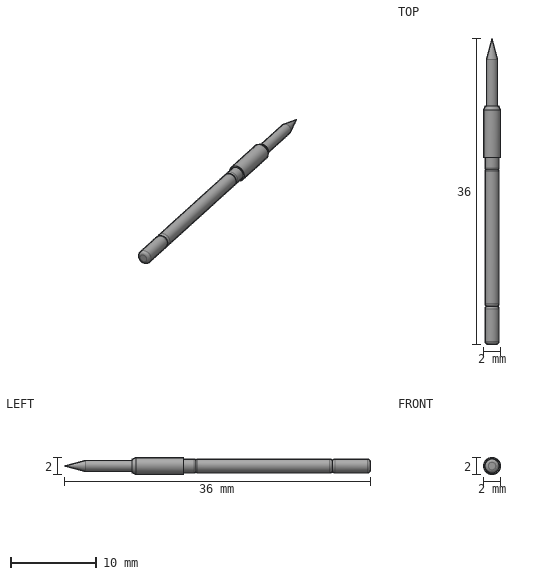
import math

import cadquery as cq

overall_length = 36.0

plunger_radius = 0.66
tip_length = 2.45

collar_radius = 1.0
collar_rear_y = 22.0
collar_front_y = 28.05
collar_chamfer_length = 0.45
collar_chamfer_depth = 0.2

barrel_radius = 0.825
tail_round = 0.38

front_crimp_y = 20.55
front_crimp_half_width = 0.2
front_crimp_depth = 0.15
rear_crimp_y = 4.5
rear_crimp_half_width = 0.3
rear_crimp_depth = 0.15


def add_crimp(profile, valley_y, half_width, depth):
    """Continue the barrel outline through a crimp, from its rear edge to its front edge."""
    shoulder_radius = (half_width**2 + depth**2) / (2 * depth)
    half_angle = math.asin(half_width / shoulder_radius) / 2
    arc_inset = shoulder_radius * (1 - math.cos(half_angle))
    arc_run = shoulder_radius * math.sin(half_angle)
    middle_x = barrel_radius - arc_inset
    rear_y = valley_y - half_width
    front_y = valley_y + half_width
    return (
        profile.lineTo(barrel_radius, rear_y)
        .threePointArc((middle_x, rear_y + arc_run), (barrel_radius - depth, valley_y))
        .threePointArc((middle_x, front_y - arc_run), (barrel_radius, front_y))
    )


def probe_profile():
    """Half section of the probe, from the tail centre along the outside to the needle tip."""
    tail_flat_radius = barrel_radius - tail_round
    arc_offset = tail_round * math.sqrt(0.5)
    tail_arc_middle = (tail_flat_radius + arc_offset, tail_round - arc_offset)

    profile = (
        cq.Workplane("XY")
        .lineTo(tail_flat_radius, 0)
        .threePointArc(tail_arc_middle, (barrel_radius, tail_round))
    )
    profile = add_crimp(profile, rear_crimp_y, rear_crimp_half_width, rear_crimp_depth)
    profile = add_crimp(profile, front_crimp_y, front_crimp_half_width, front_crimp_depth)
    return (
        profile.lineTo(barrel_radius, collar_rear_y)
        .lineTo(collar_radius, collar_rear_y)
        .lineTo(collar_radius, collar_front_y - collar_chamfer_length)
        .lineTo(collar_radius - collar_chamfer_depth, collar_front_y)
        .lineTo(plunger_radius, collar_front_y)
        .lineTo(plunger_radius, overall_length - tip_length)
        .lineTo(0, overall_length)
        .close()
    )


result = probe_profile().revolve(360, (0, 0, 0), (0, 1, 0))